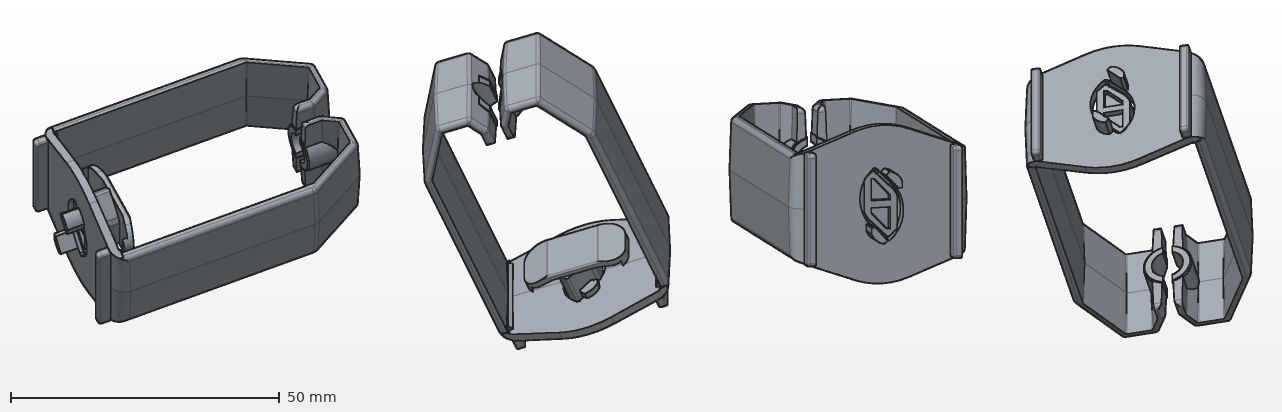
import cadquery as cq
import math


length = 56.5
half_width = 17.3
draft = 2.0
band_half_height = 10.0
side_wall = 2.4
thin_wall = 2.05
lip_wall = 2.15
bend_angle = 60.0
roof_half_width = 10.4
lip_bend_x = 3.35
lip_face_x = 0.9
lip_end_y = 48.35
band_edge_radius = 0.95
shoulder_bend_radius = 2.0
band_bend_radius = 0.85

plate_front_y = 3.45
plate_thickness = 2.05
plate_draft = 1.4
plate_height = 30.0
plate_half_width = 16.4
plate_slope = 20.0
crown_half_width = 5.2
corner_radius = 3.0
inner_corner_chamfer = 0.7

rail_outer_x = 15.05
rail_width = 1.7
rail_end_y = 1.0
rail_half_height = 10.7
rail_end_radius = 0.75
rail_edge_radius = 0.35

channel_radius = 3.0
sleeve_radius = 4.65
sleeve_chamfer = 0.3

eye_tip = (-1.45, 6.95)
eye_tip_end = (-0.95, 6.85)
eye_side = (-4.25, 1.45)
eye_corner = (2.6, 3.3)
stem_tip = (-1.45, 6.45)
stem_side = (-3.15, 4.85)
stem_corner = (2.55, 2.6)
stem_lower_side = (3.15, 1.45)
stem_edge_radius = 0.45
stem_front_y = 4.05
pocket_depth = 1.15
pocket_half_width = 1.8
pocket_bottom_z = 0.7
pocket_top_z = 4.8
pocket_slope_start_x = -1.25
pocket_side_z = 1.6
lug_outer_tip = (0.5, 6.85)
lug_bulge = (2.05, 6.15)
lug_side = (3.0, 4.85)
lug_corner = (3.0, 3.6)
lug_inner_corner = (2.25, 3.6)
lug_inner_tip = (-0.15, 6.15)
web_stem_tip = (-0.75, 5.1)
web_stem_corner = (1.4, 3.1)
web_front_y = 4.8
web_back_y = 6.55

blade_back_y = 11.8
blade_thickness = 1.2
blade_flat_half_width = 5.05
blade_underside_half_width = 4.45
blade_underside_end_y = 9.6
blade_half_width = 10.05
blade_end_y = 10.45
blade_foot_y = 8.6
blade_foot_width = 1.15
blade_half_height = 5.4
blade_corner_radius = 3.4
blade_edge_radius = 0.35

plate_back_y = plate_front_y + plate_thickness
plate_half_height = plate_height / 2
inner_half_width = half_width - side_wall


def half_turn(points):
    """Points turned half a revolution about the Y axis."""
    return [(-x, -z) for x, z in points]


def xz_sketch(y):
    """XZ sketch plane at y; negative extrusion runs toward +Y."""
    return cq.Workplane("XZ", origin=(0, y, 0))


def polygon_prism(points, y_start, y_end):
    """Straight prism along Y over a closed XZ polygon."""
    return xz_sketch(y_start).polyline(points).close().extrude(y_start - y_end)


def with_half_turn(solid):
    """The solid together with its copy after half a turn about the Y axis."""
    return solid.union(solid.rotate((0, 0, 0), (0, 1, 0), 180))


def nearest_edges(solid, points):
    """The edge nearest to each of the given points."""
    found = [solid.edges(cq.selectors.NearestToPointSelector(p)).val() for p in points]
    return solid.newObject(found)


def make_arm():
    """Left arm of the band: a bent strip, thickest at mid height and drafted both ways."""
    slant = math.tan(math.radians(bend_angle))
    miter = thin_wall * math.tan(math.radians(bend_angle / 2))
    foot_y = plate_front_y + plate_thickness / 4
    roof_y = length - thin_wall
    roof_inside_x = roof_half_width - miter
    lip_bend_inside_x = lip_bend_x + miter
    lip_inside_x = lip_face_x + lip_wall
    bends = [
        (-half_width, length - (half_width - roof_half_width) * slant),
        (-roof_half_width, length),
        (-lip_bend_x, length),
        (-lip_face_x, length - (lip_bend_x - lip_face_x) * slant),
    ]
    outer_side = [(-half_width, foot_y), *bends, (-lip_face_x, lip_end_y)]
    inner_side = [
        (-lip_inside_x, lip_end_y),
        (-lip_inside_x, roof_y - (lip_bend_inside_x - lip_inside_x) * slant),
        (-lip_bend_inside_x, roof_y),
        (-roof_inside_x, roof_y),
        (-inner_half_width, roof_y - (inner_half_width - roof_inside_x) * slant),
        (-inner_half_width, foot_y),
    ]
    outline = cq.Workplane("XY").polyline(outer_side + inner_side).close()
    upper = outline.extrude(band_half_height, taper=draft)
    bend_points = [(x, y, band_half_height / 2) for x, y in bends]
    upper = nearest_edges(upper, bend_points[:1]).fillet(shoulder_bend_radius)
    upper = nearest_edges(upper, bend_points[1:]).fillet(band_bend_radius)
    roof_middle = (-(roof_half_width + lip_bend_x) / 2, length, band_half_height)
    lip_end_middle = (-(lip_face_x + lip_inside_x) / 2, lip_end_y, band_half_height)
    upper = nearest_edges(upper, [roof_middle, lip_end_middle]).fillet(band_edge_radius)
    return upper.union(upper.mirror("XY"))


def cut_screw_channel(band):
    """Sleeve round the Y axis between the lips, bored through along Y."""
    roof_y = length - thin_wall
    sleeve = xz_sketch(lip_end_y).circle(sleeve_radius).extrude(lip_end_y - roof_y)
    sleeve = sleeve.faces("<Y").chamfer(sleeve_chamfer)
    gap = xz_sketch(lip_end_y).rect(2 * lip_face_x, 2 * sleeve_radius).extrude(lip_end_y - roof_y)
    slant_run = (lip_bend_x - lip_face_x) * math.tan(math.radians(bend_angle))
    wedge = (
        cq.Workplane("XY", origin=(0, 0, -sleeve_radius))
        .polyline([
            (-lip_face_x, length - slant_run),
            (-lip_bend_x, length),
            (lip_bend_x, length),
            (lip_face_x, length - slant_run),
        ])
        .close()
        .extrude(2 * sleeve_radius)
    )
    bore = xz_sketch(lip_end_y).circle(channel_radius).extrude(lip_end_y - length)
    return band.union(sleeve.cut(gap).cut(wedge)).cut(bore)


def make_plate():
    """Front plate with crowned top and bottom and a drafted back."""
    slope = math.radians(plate_slope)
    crown_radius = crown_half_width / math.sin(slope)
    crown_edge_z = plate_half_height - crown_radius * (1 - math.cos(slope))
    side_z = crown_edge_z - (plate_half_width - crown_half_width) * math.tan(slope)
    block = (
        xz_sketch(plate_front_y)
        .moveTo(-plate_half_width, -side_z)
        .lineTo(-plate_half_width, side_z)
        .lineTo(-crown_half_width, crown_edge_z)
        .threePointArc((0, plate_half_height), (crown_half_width, crown_edge_z))
        .lineTo(plate_half_width, side_z)
        .lineTo(plate_half_width, -side_z)
        .lineTo(crown_half_width, -crown_edge_z)
        .threePointArc((0, -plate_half_height), (-crown_half_width, -crown_edge_z))
        .close()
        .extrude(-plate_thickness)
    )
    back_drop = plate_half_height * math.tan(math.radians(plate_draft))
    clear_y = plate_back_y + corner_radius
    room = (
        cq.Workplane("YZ", origin=(-inner_half_width, 0, 0))
        .polyline([
            (plate_back_y, 0),
            (plate_back_y - back_drop, plate_half_height),
            (clear_y, plate_half_height),
            (clear_y, -plate_half_height),
            (plate_back_y - back_drop, -plate_half_height),
        ])
        .close()
        .extrude(2 * inner_half_width)
    )
    return block.cut(room)


def make_corner_round():
    """Waste outside the rounded front corner on the left, leaning with the drafted wall."""
    corner = (-half_width, plate_front_y)
    margin = 0.55
    sagitta = corner_radius * (1 - math.sqrt(0.5))
    upper = (
        cq.Workplane("XY", origin=(0, 0, -margin))
        .moveTo(corner[0], corner[1] + corner_radius)
        .threePointArc(
            (corner[0] + sagitta, corner[1] + sagitta),
            (corner[0] + corner_radius, corner[1]),
        )
        .lineTo(corner[0] + corner_radius, corner[1] - margin)
        .lineTo(corner[0] - margin, corner[1] - margin)
        .lineTo(corner[0] - margin, corner[1] + corner_radius)
        .close()
        .extrude(plate_height)
    )
    upper = upper.rotate((corner[0], 0, 0), (corner[0], 1, 0), draft)
    above_middle = cq.Workplane("XY").box(length, length, plate_height, centered=(True, True, False))
    upper = upper.intersect(above_middle)
    return upper.union(upper.mirror("XY"))


def make_corner_web():
    """Chamfer filling the inside corner between the left arm and the plate."""
    leg = inner_corner_chamfer
    web_height = 2 * (band_half_height - leg)
    corner = (-inner_half_width, plate_back_y)
    return (
        cq.Workplane("XY", origin=(0, 0, -web_height / 2))
        .polyline([
            (corner[0] - leg, corner[1] + leg),
            (corner[0], corner[1] + leg),
            (corner[0] + leg, corner[1]),
            (corner[0] + leg, corner[1] - leg),
            (corner[0] - leg, corner[1] - leg),
        ])
        .close()
        .extrude(web_height)
    )


def make_rail():
    """Left grip rail standing on the plate front."""
    rail = (
        xz_sketch(rail_end_y)
        .center(-rail_outer_x + rail_width / 2, 0)
        .rect(rail_width, 2 * rail_half_height)
        .extrude(rail_end_y - plate_front_y)
    )
    rail = rail.faces("<Y").edges("|X").fillet(rail_end_radius)
    return rail.faces("<Y").edges("|Z").fillet(rail_edge_radius)


def eye_opening():
    """Eye-shaped opening through the plate."""
    far_tip, far_tip_end, far_side, far_corner = half_turn([eye_tip, eye_tip_end, eye_side, eye_corner])
    return (
        xz_sketch(plate_front_y)
        .moveTo(*far_corner)
        .threePointArc(eye_side, eye_tip)
        .lineTo(*eye_tip_end)
        .lineTo(*eye_corner)
        .threePointArc(far_side, far_tip)
        .lineTo(*far_tip_end)
        .close()
        .extrude(-plate_thickness)
    )


def make_stem():
    """Twist-lock stem reaching back to the blade, with two blind pockets in its front."""
    blade_front_y = blade_back_y - blade_thickness
    corners = [stem_side, stem_tip, stem_corner, stem_lower_side]
    stem = polygon_prism(corners + half_turn(corners), stem_front_y, blade_front_y)
    stem = stem.edges("|Y").fillet(stem_edge_radius)
    pocket = polygon_prism(
        [
            (-pocket_half_width, pocket_bottom_z),
            (-pocket_half_width, pocket_top_z),
            (pocket_slope_start_x, pocket_top_z),
            (pocket_half_width, pocket_side_z),
            (pocket_half_width, pocket_bottom_z),
        ],
        stem_front_y,
        stem_front_y + pocket_depth,
    )
    return stem.cut(with_half_turn(pocket))


def make_lug():
    """Upper finger lug beside the opening, running from its tip through the plate."""
    return (
        xz_sketch(0)
        .moveTo(*lug_inner_tip)
        .lineTo(*lug_outer_tip)
        .threePointArc(lug_bulge, lug_side)
        .lineTo(*lug_corner)
        .lineTo(*lug_inner_corner)
        .close()
        .extrude(-web_back_y)
    )


def make_lug_web():
    """Web joining the upper lug to the stem behind the plate front."""
    outline = [lug_inner_tip, lug_inner_corner, web_stem_corner, web_stem_tip]
    return polygon_prism(outline, web_front_y, web_back_y)


def make_blade():
    """Bowed spring blade with a foot at each end."""
    right_side = [
        (blade_flat_half_width, blade_back_y),
        (blade_half_width, blade_end_y),
        (blade_half_width, blade_foot_y),
        (blade_half_width - blade_foot_width, blade_foot_y),
        (blade_half_width - blade_foot_width, blade_underside_end_y),
        (blade_underside_half_width, blade_back_y - blade_thickness),
    ]
    left_side = [(-x, y) for x, y in reversed(right_side)]
    blade = (
        cq.Workplane("XY", origin=(0, 0, -blade_half_height))
        .polyline(right_side + left_side)
        .close()
        .extrude(2 * blade_half_height)
    )
    plan = (
        xz_sketch(blade_foot_y)
        .rect(2 * blade_half_width, 2 * blade_half_height)
        .extrude(blade_foot_y - blade_back_y)
        .edges("|Y")
        .fillet(blade_corner_radius)
    )
    blade = blade.intersect(plan)
    return blade.faces(">Y").edges().fillet(blade_edge_radius)


left_half = make_arm().union(make_corner_web())
band = cut_screw_channel(left_half.union(left_half.mirror("YZ")))
rail = make_rail()
corner_round = make_corner_round()
clip = band.union(make_plate())
clip = clip.cut(corner_round).cut(corner_round.mirror("YZ"))
clip = clip.union(rail).union(rail.mirror("YZ"))
lock = make_stem().union(make_blade())
lock = lock.union(with_half_turn(make_lug())).union(with_half_turn(make_lug_web()))
result = clip.cut(eye_opening()).union(lock)